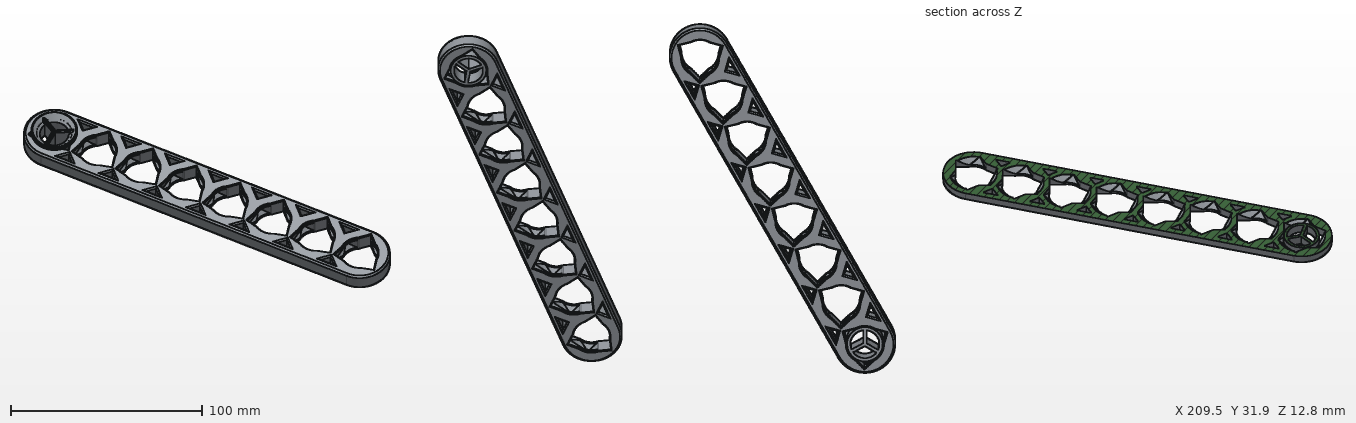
import cadquery as cq
import math

length = 209.5
width = 31.9
bar_height = 10.0
bar_chamfer = 1.0
hole_count = 8
row_length = length - width
pitch = row_length / (hole_count - 1)

hole_radius = 9.53
corner_reach = 13.0
hole_chamfer = 0.52
corner_angles = (90, 210, 330)

track_radius = 12.4
seat_radius = 12.5
seat_reach = 12.8
twist_angle = 60
mid_height = bar_height / 2

window_base_offset = 12.5
window_depth = 3.8
window_chamfer = 0.8

total_height = 12.8
hub_radius = 18.6 / 2
flange_radius = 24.0 / 2
flange_chamfer = 0.52
flange_undercut = 0.95
flange_rim_radius = flange_radius - flange_chamfer
bore_radius = 7.5
funnel_radius = 11.3
funnel_bottom = 9.2
spoke_width = 1.9
spoke_top = 11.7
spoke_chamfer = 0.6
spoke_angles = (30, 150, 270)

first_hole_x = -row_length / 2
hole_places = [first_hole_x + i * pitch for i in range(hole_count)]


def turned(profile):
    """Solid of revolution about Z from (radius, height) points."""
    return cq.Workplane("XZ").polyline(profile).close().revolve(360, (0, 0, 0), (0, 1, 0))


def right_angled_corner(reach, angle):
    """Square prism with one edge on the Z axis and the opposite edge at the given reach and angle."""
    side = reach / math.sqrt(2)
    prism = cq.Workplane("XY").rect(side, side, centered=False).extrude(bar_height)
    return prism.rotate((0, 0, 0), (0, 0, 1), angle - 45)


def double_cone(radius):
    """Disc that narrows at 45 degrees above and below the middle of the bar, to just inside the hole."""
    half_height = radius - hub_radius
    return turned([
        (0, mid_height - half_height),
        (hub_radius, mid_height - half_height),
        (radius, mid_height),
        (hub_radius, mid_height + half_height),
        (0, mid_height + half_height),
    ])


def sector(start_angle, sweep_angle):
    """Pie slice, larger than any groove, that runs the full height of the bar."""
    slice_radius = width
    start = math.radians(start_angle)
    middle = math.radians(start_angle + sweep_angle / 2)
    end = math.radians(start_angle + sweep_angle)
    points = [(slice_radius * math.cos(a), slice_radius * math.sin(a)) for a in (start, middle, end)]
    return (
        cq.Workplane("XY")
        .lineTo(*points[0])
        .threePointArc(points[1], points[2])
        .close()
        .extrude(bar_height)
    )


def hole_cutter():
    cutter = cq.Workplane("XY").circle(hole_radius).extrude(bar_height)
    for angle in corner_angles:
        cutter = cutter.union(right_angled_corner(corner_reach, angle))
    return cutter


def groove_cutter():
    track_disc = double_cone(track_radius)
    seat_disc = double_cone(seat_radius)
    cutter = cq.Workplane("XY")
    for angle in corner_angles:
        seat_angle = angle - twist_angle
        track = track_disc.intersect(sector(seat_angle, twist_angle))
        seat = seat_disc.intersect(right_angled_corner(seat_reach, seat_angle))
        cutter = cutter.add(track).add(seat)
    return cutter


def window_cutter(side):
    """Triangle beside the hole row; side is +1 for the +Y edge of the bar and -1 for the -Y edge."""
    outline = [
        (-window_depth, side * window_base_offset),
        (window_depth, side * window_base_offset),
        (0, side * (window_base_offset - window_depth)),
    ]
    return cq.Workplane("XY").polyline(outline).close().extrude(bar_height)


def inner_rims(bar):
    """Edges of every opening in the top and bottom faces of the bar."""
    rims = []
    for face in bar.faces("<Z or >Z").vals():
        for wire in face.innerWires():
            rims.extend(wire.Edges())
    return bar.newObject(rims)


def make_bar():
    blank = cq.Workplane("XY").slot2D(length, width).extrude(bar_height)
    blank = blank.faces("<Z or >Z").chamfer(bar_chamfer)

    bar = blank
    hole = hole_cutter()
    for x in hole_places:
        bar = bar.cut(hole.translate((x, 0, 0)))
    bar = inner_rims(bar).chamfer(hole_chamfer)

    windowed = blank
    for x in hole_places[:-1]:
        for side in (-1, 1):
            windowed = windowed.cut(window_cutter(side).translate((x + pitch / 2, 0, 0)))
    windowed = inner_rims(windowed).chamfer(window_chamfer)
    bar = bar.intersect(windowed)

    grooves = groove_cutter().vals()
    for x in hole_places:
        for groove in grooves:
            bar = bar.cut(cq.Workplane(groove.translate(cq.Vector(x, 0, 0))))
    return bar


def make_spoke(angle):
    """Bar from the pin axis outwards, with both top edges chamfered."""
    half_width = spoke_width / 2
    shoulder = spoke_top - spoke_chamfer
    half_crest = half_width - spoke_chamfer
    outline = [
        (-half_width, 0),
        (half_width, 0),
        (half_width, shoulder),
        (half_crest, spoke_top),
        (-half_crest, spoke_top),
        (-half_width, shoulder),
    ]
    spoke = cq.Workplane("YZ").polyline(outline).close().extrude(flange_radius)
    return spoke.rotate((0, 0, 0), (0, 0, 1), angle)


def make_pin():
    outer_side = [
        (hub_radius, 0),
        (hub_radius, bar_height),
        (flange_radius - flange_undercut, bar_height),
        (flange_radius, bar_height + flange_undercut),
        (flange_radius, total_height - flange_chamfer),
        (flange_rim_radius, total_height),
    ]
    bore_side = [
        (funnel_radius, total_height),
        (bore_radius, funnel_bottom),
        (bore_radius, 0),
    ]
    pin = turned(outer_side + bore_side)
    envelope = turned([(0, 0)] + outer_side + [(0, total_height)])
    for angle in spoke_angles:
        pin = pin.union(make_spoke(angle).intersect(envelope))
    return pin.translate((first_hole_x, 0, 0))


bar = make_bar()
pin = make_pin()
result = cq.Compound.makeCompound([bar.solids().val(), pin.solids().val()])